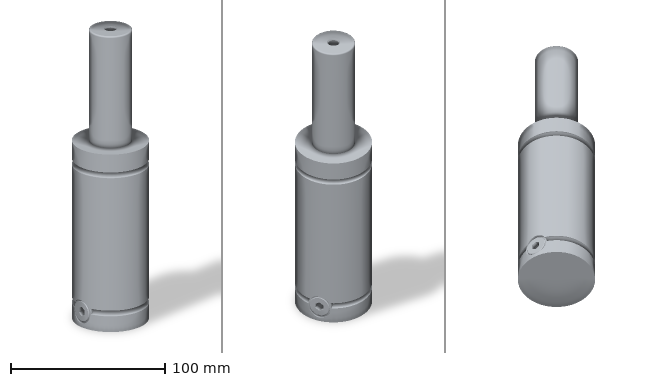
import cadquery as cq
import math

total_height = 202.0
body_diameter = 50.0
body_height = 124.0
rod_diameter = 28.0
rod_edge_radius = 1.0

groove_radius = 2.0
groove_depth = 2.5
lower_groove_height = 13.0
upper_groove_height = 109.5

thread_diameter = 6.9
thread_mouth_diameter = 8.5
thread_depth = 16.2
drill_point_angle = 118.0

plug_diameter = 16.0
plug_face_diameter = 14.0
plug_height = 10.7
plug_recess = 0.6
plug_step = 0.8
plug_edge_chamfer = 0.5
plug_hex_corners = 6.5
plug_hex_depth = 3.0

body_radius = body_diameter / 2
plug_face_y = plug_recess - body_radius


def make_groove(height):
    """Ring tool with a half-round floor and short straight flanks."""
    arc_centre = body_radius - groove_depth + groove_radius
    return (
        cq.Workplane("XZ")
        .moveTo(body_radius, height - groove_radius)
        .lineTo(arc_centre, height - groove_radius)
        .threePointArc((body_radius - groove_depth, height), (arc_centre, height + groove_radius))
        .lineTo(body_radius, height + groove_radius)
        .close()
        .revolve(360, (0, 0, 0), (0, 1, 0))
    )


def make_body():
    body = cq.Workplane("XY").circle(body_radius).extrude(body_height)
    for height in (lower_groove_height, upper_groove_height):
        body = body.cut(make_groove(height))
    return body


def make_rod():
    rod = (
        cq.Workplane("XY")
        .workplane(offset=body_height)
        .circle(rod_diameter / 2)
        .extrude(total_height - body_height)
    )
    return rod.faces(">Z").fillet(rod_edge_radius)


def make_tapped_hole():
    """Tool for the rod-end hole: 45 degree mouth, straight wall and drill point."""
    hole_radius = thread_diameter / 2
    mouth_radius = thread_mouth_diameter / 2
    mouth_depth = mouth_radius - hole_radius
    wall_bottom = total_height - thread_depth
    point_depth = hole_radius / math.tan(math.radians(drill_point_angle / 2))
    return (
        cq.Workplane("XZ")
        .moveTo(0, total_height)
        .lineTo(mouth_radius, total_height)
        .lineTo(hole_radius, total_height - mouth_depth)
        .lineTo(hole_radius, wall_bottom)
        .lineTo(0, wall_bottom - point_depth)
        .close()
        .revolve(360, (0, 0, 0), (0, 1, 0))
    )


def make_port():
    """Tool for the plug hole, from the body axis out through the -Y side."""
    return (
        cq.Workplane("XZ")
        .center(0, plug_height)
        .circle(plug_diameter / 2)
        .extrude(body_diameter)
    )


def make_plug():
    """Plug with a stepped face, a chamfered edge and a hexagon socket whose corners point along Z."""
    shank = (
        cq.Workplane("XZ")
        .center(0, plug_height)
        .circle(plug_diameter / 2)
        .extrude(-plug_face_y - plug_step)
    )
    face_disc = (
        cq.Workplane("XZ")
        .center(0, plug_height)
        .circle(plug_face_diameter / 2)
        .extrude(-plug_face_y)
        .faces("<Y")
        .chamfer(plug_edge_chamfer)
    )
    socket = (
        cq.Workplane("XZ", origin=(0, plug_face_y, plug_height))
        .transformed(rotate=(0, 0, 90))
        .polygon(6, plug_hex_corners)
        .extrude(-plug_hex_depth)
    )
    return shank.union(face_disc).cut(socket)


result = make_body().union(make_rod()).cut(make_tapped_hole())
result = result.cut(make_port()).union(make_plug())